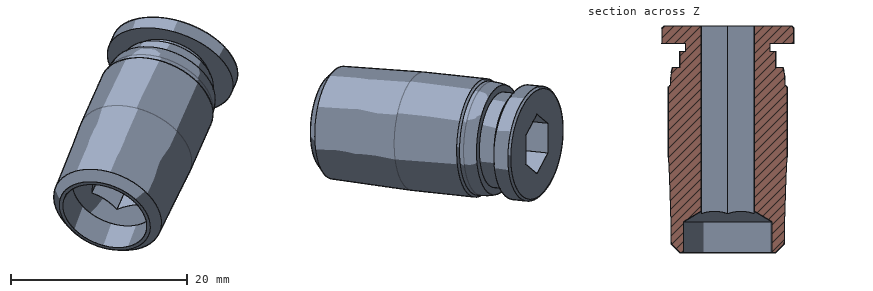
import cadquery as cq
import math

LENGTH = 25.7

FULL_TURN = 360
QUARTER_TURN = 90
AXIS_START = (0, 0, 0)
AXIS_END = (0, 1, 0)

FLANGE_WIDTH = 15.0
FLANGE_HEIGHT = 13.0
FLANGE_THICKNESS = 2.0
FLANGE_CHAMFER = 0.25

NECK_RADIUS = 4.8
NECK_LENGTH = 0.9
SLEEVE_RADIUS = 5.45
SLEEVE_LENGTH = 1.8
COLLAR_TOP_RADIUS = 6.27
COLLAR_RADIUS = 6.5
COLLAR_ARC_LENGTH = 1.5
COLLAR_BAND_LENGTH = 0.5
BODY_RADIUS = 6.75
BODY_CHAMFER = BODY_RADIUS - COLLAR_RADIUS

TAPER_START = 11.0
TIP_RADIUS = 6.43
TIP_CHAMFER = 1.0
TIP_FACE_RADIUS = TIP_RADIUS - TIP_CHAMFER

BORE_RADIUS = 5.0
BORE_DEPTH = 3.5
CONE_ANGLE = 118.0
CONE_DEPTH = BORE_RADIUS / math.tan(math.radians(CONE_ANGLE / 2))
HEX_SIDES = 6
HEX_ACROSS_FLATS = 6.0
HEX_ACROSS_CORNERS = HEX_ACROSS_FLATS / math.cos(math.pi / HEX_SIDES)


def make_turned_body():
    """Stepped barrel from the open tip up to the underside of the flange."""
    flange_y = LENGTH - FLANGE_THICKNESS
    neck_y = flange_y - NECK_LENGTH
    sleeve_y = neck_y - SLEEVE_LENGTH
    collar_arc_y = sleeve_y - COLLAR_ARC_LENGTH
    body_y = collar_arc_y - COLLAR_BAND_LENGTH
    profile = (
        cq.Workplane("ZY")
        .moveTo(0, 0)
        .lineTo(TIP_FACE_RADIUS, 0)
        .lineTo(TIP_RADIUS, TIP_CHAMFER)
        .lineTo(BODY_RADIUS, TAPER_START)
        .lineTo(BODY_RADIUS, body_y - BODY_CHAMFER)
        .lineTo(COLLAR_RADIUS, body_y)
        .lineTo(COLLAR_RADIUS, collar_arc_y)
        .tangentArcPoint((COLLAR_TOP_RADIUS, sleeve_y), relative=False)
        .lineTo(SLEEVE_RADIUS, sleeve_y)
        .lineTo(SLEEVE_RADIUS, neck_y)
        .lineTo(NECK_RADIUS, neck_y)
        .lineTo(NECK_RADIUS, flange_y)
        .lineTo(0, flange_y)
        .close()
    )
    return profile.revolve(FULL_TURN, AXIS_START, AXIS_END)


def make_flange():
    """Elliptical flange with its outer rim chamfered."""
    return (
        cq.Workplane("XZ", origin=(0, LENGTH, 0))
        .ellipse(FLANGE_WIDTH / 2, FLANGE_HEIGHT / 2)
        .extrude(FLANGE_THICKNESS)
        .faces(">Y")
        .chamfer(FLANGE_CHAMFER)
    )


def make_bore():
    """Round socket ending in a cone."""
    return (
        cq.Workplane("XY")
        .moveTo(0, 0)
        .lineTo(BORE_RADIUS, 0)
        .lineTo(BORE_RADIUS, BORE_DEPTH)
        .lineTo(0, BORE_DEPTH + CONE_DEPTH)
        .close()
        .revolve(FULL_TURN, AXIS_START, AXIS_END)
    )


def make_hex_hole():
    """Hexagonal through hole with two flats facing +X and -X."""
    return (
        cq.Workplane("XZ")
        .transformed(rotate=(0, 0, QUARTER_TURN))
        .polygon(HEX_SIDES, HEX_ACROSS_CORNERS)
        .extrude(-LENGTH)
    )


result = make_turned_body().union(make_flange()).cut(make_bore()).cut(make_hex_hole())